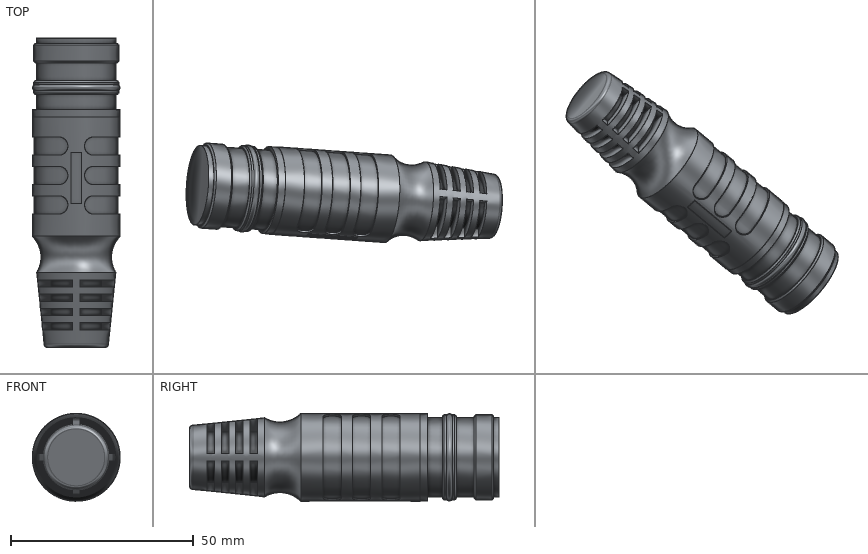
import cadquery as cq


BARREL_RADIUS = 12.0
BARREL_FRONT = 63.0
NECK_FRONT = 30.45
NECK_WAIST = 24.7
NECK_WAIST_RADIUS = 9.65
TAIL_FRONT = 20.5
TAIL_FRONT_RADIUS = 10.8
TAIL_END_RADIUS = 8.7
TAIL_END_FILLET = 1.0

GRIP_COUNT = 3
GRIP_PITCH = 8.0
GRIP_MIDDLE = 47.0
GRIP_WIDTH = 5.0
GRIP_DEPTH = 0.5
GRIP_HALF_GAP = 2.3

MARK_LENGTH = 14.0
MARK_WIDTH = 2.9
MARK_MIDDLE = 46.4
MARK_DEPTH = 0.25

SLOT_COUNT = 4
SLOT_PITCH = 3.9
SLOT_WIDTH = 2.0
FIRST_SLOT = 4.8
SLOT_CORE_RADIUS = 7.0
RIB_WIDTH = 2.1

CONNECTOR_TIP = 84.6
CONNECTOR_RADIUS = 10.9
COLLAR_RADIUS = 11.9
COLLAR_FRONT = 65.05
RIDGE_RADIUS = 11.7
RIDGE_CHAMFER = 0.5
BAND_BACK = 77.8
BAND_FRONT = 83.2

RING_MIDDLE = 71.1
RING_OUTER_RADIUS = 11.9
RING_SECTION_RADIUS = 0.85
FLANGE_HALF_LENGTH = 1.95
RING_CENTRE_RADIUS = RING_OUTER_RADIUS - RING_SECTION_RADIUS
RING_SEAT_RADIUS = RING_CENTRE_RADIUS - RING_SECTION_RADIUS


def cylinder(radius, back, front):
    """Solid cylinder about the Y axis between two Y positions."""
    return cq.Workplane("XZ", origin=(0, back, 0)).circle(radius).extrude(back - front)


def tube(inner_radius, outer_radius, back, front):
    """Hollow cylinder about the Y axis between two Y positions."""
    return cylinder(outer_radius, back, front).cut(cylinder(inner_radius, back, front))


def make_handle_blank():
    return (
        cq.Workplane("XY")
        .moveTo(0, 0)
        .lineTo(TAIL_END_RADIUS, 0)
        .lineTo(TAIL_FRONT_RADIUS, TAIL_FRONT)
        .threePointArc((NECK_WAIST_RADIUS, NECK_WAIST), (BARREL_RADIUS, NECK_FRONT))
        .lineTo(BARREL_RADIUS, BARREL_FRONT)
        .lineTo(0, BARREL_FRONT)
        .close()
        .revolve(360, (0, 0, 0), (0, 1, 0))
        .faces("<Y")
        .edges()
        .fillet(TAIL_END_FILLET)
    )


def make_grip_cutter(side, middle):
    """Ring-shaped groove whose two ends, beside the top and bottom, are round."""
    end_radius = GRIP_WIDTH / 2
    end_centre = GRIP_HALF_GAP + end_radius
    outer_edge = BARREL_RADIUS + GRIP_DEPTH
    outline = (
        cq.Workplane("XY")
        .moveTo(side * outer_edge, middle - end_radius)
        .lineTo(side * end_centre, middle - end_radius)
        .threePointArc((side * GRIP_HALF_GAP, middle), (side * end_centre, middle + end_radius))
        .lineTo(side * outer_edge, middle + end_radius)
        .close()
        .extrude(outer_edge, both=True)
    )
    floor = cylinder(BARREL_RADIUS - GRIP_DEPTH, middle - GRIP_WIDTH, middle + GRIP_WIDTH)
    return outline.cut(floor)


def make_mark_cutter():
    """Recess block through the barrel, kept out of its core, so it marks both top and bottom."""
    block = cq.Workplane("XY").box(MARK_WIDTH, MARK_LENGTH, 2 * (BARREL_RADIUS + MARK_DEPTH))
    floor = cylinder(BARREL_RADIUS - MARK_DEPTH, -MARK_LENGTH, MARK_LENGTH)
    return block.cut(floor).translate((0, MARK_MIDDLE, 0))


def make_slot_cutter(back):
    """Ring around the tail core with gaps left for the four ribs."""
    front = back + SLOT_WIDTH
    rib_span = 2 * BARREL_RADIUS
    ribs = cq.Workplane("XZ", origin=(0, back, 0)).rect(RIB_WIDTH, rib_span).extrude(-SLOT_WIDTH)
    cross_ribs = ribs.rotate((0, 0, 0), (0, 1, 0), 90)
    return tube(SLOT_CORE_RADIUS, BARREL_RADIUS, back, front).cut(ribs).cut(cross_ribs)


def make_handle():
    handle = make_handle_blank()
    for index in range(GRIP_COUNT):
        middle = GRIP_MIDDLE + (index - (GRIP_COUNT - 1) / 2) * GRIP_PITCH
        for side in (-1, 1):
            handle = handle.cut(make_grip_cutter(side, middle))
    handle = handle.cut(make_mark_cutter())
    for index in range(SLOT_COUNT):
        handle = handle.cut(make_slot_cutter(FIRST_SLOT + index * SLOT_PITCH))
    return handle


def make_ridge(back, front):
    """Raised ring around the connector with both rims chamfered."""
    return cylinder(RIDGE_RADIUS, back, front).edges().chamfer(RIDGE_CHAMFER)


def make_connector():
    flange_back = RING_MIDDLE - FLANGE_HALF_LENGTH
    flange_front = RING_MIDDLE + FLANGE_HALF_LENGTH
    ring_back = RING_MIDDLE - RING_SECTION_RADIUS
    ring_front = RING_MIDDLE + RING_SECTION_RADIUS
    return (
        cylinder(CONNECTOR_RADIUS, BARREL_FRONT, CONNECTOR_TIP)
        .union(cylinder(COLLAR_RADIUS, BARREL_FRONT, COLLAR_FRONT))
        .union(make_ridge(BAND_BACK, BAND_FRONT))
        .union(make_ridge(flange_back, flange_front))
        .cut(tube(RING_SEAT_RADIUS, RING_OUTER_RADIUS, ring_back, ring_front))
    )


def make_o_ring():
    return (
        cq.Workplane("XY")
        .center(RING_CENTRE_RADIUS, RING_MIDDLE)
        .circle(RING_SECTION_RADIUS)
        .revolve(360, (-RING_CENTRE_RADIUS, 0, 0), (-RING_CENTRE_RADIUS, 1, 0))
    )


handle = make_handle()
connector = make_connector()
o_ring = make_o_ring()

result = cq.Compound.makeCompound([handle.solids().val(), connector.solids().val(), o_ring.val()])